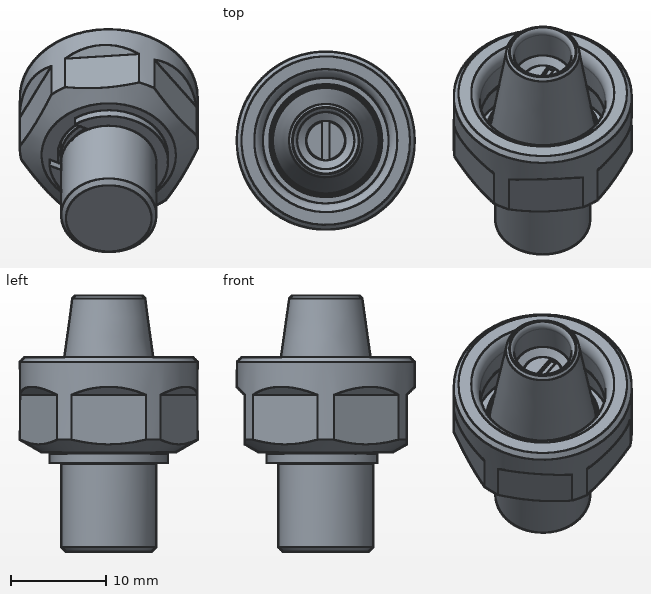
import cadquery as cq
import math

nose_top = 26.9
nut_top = 20.42
nut_bottom = 10.45
clip_top = 10.3
clip_thickness = 1.0
groove_play = 0.08

shank_radius = 10.0 / 2
shank_chamfer = 0.5
clip_groove_radius = 8.8 / 2
collar_radius = 11.85 / 2
collar_chamfer = 0.22
collar_top = 14.53
taper_angle = 8.0
nose_chamfer = 0.32
nose_radius = 3.85
nose_bore_radius = 6.0 / 2
nose_lip_width = 0.45
nose_lip_arc = 0.75
nose_bore_depth = 3.93
funnel_angle = 60.0
plug_radius = 4.15 / 2
plug_bevel = 0.05
plug_slot_width = 0.75
plug_slot_depth = 0.5

nut_radius = 18.7 / 2
nut_rim_chamfer = 0.5
nut_base_radius = 7.05
nut_base_angle = 30.0
nut_floor_thickness = 2.0
nut_hole_radius = 10.7 / 2
thread_radius = 14.5 / 2
mouth_radius = 13.18 / 2
mouth_lip_width = 0.91
mouth_lip_arc = 1.5
mouth_bottom = 16.27
thread_top = 15.06
across_flats = 17.0
flat_top = 16.45

clip_radius = 12.45 / 2
clip_gap = 6.2

nut_floor = nut_bottom + nut_floor_thickness
clip_bottom = clip_top - clip_thickness


def revolve_about_z(profile):
    return profile.close().revolve(360, (0, 0, 0), (0, 1, 0))


def add_rounded_lip(profile, bore_radius, lip_top, width, arc_radius):
    """Arc from the lip's outer edge, on the top face, down to where it runs smoothly into the bore."""
    outer_edge = bore_radius + width
    arc_angle = math.acos(1 - width / arc_radius)
    lip_bottom = lip_top - arc_radius * math.sin(arc_angle)
    middle = (
        bore_radius + arc_radius * (1 - math.cos(arc_angle / 2)),
        lip_bottom + arc_radius * math.sin(arc_angle / 2),
    )
    return profile.lineTo(outer_edge, lip_top).threePointArc(middle, (bore_radius, lip_bottom))


def make_body():
    shoulder_z = nose_top - nose_chamfer
    nose_base_radius = nose_radius + (shoulder_z - collar_top) * math.tan(math.radians(taper_angle))
    bore_bottom = nose_top - nose_bore_depth
    funnel_bottom = bore_bottom - (nose_bore_radius - plug_radius) / math.tan(math.radians(funnel_angle))
    plug_top = funnel_bottom + plug_bevel
    groove_bottom = clip_bottom - groove_play
    groove_top = clip_top + groove_play
    profile = (
        cq.Workplane("XZ")
        .moveTo(0, 0)
        .lineTo(shank_radius - shank_chamfer, 0)
        .lineTo(shank_radius, shank_chamfer)
        .lineTo(shank_radius, groove_bottom)
        .lineTo(clip_groove_radius, groove_bottom)
        .lineTo(clip_groove_radius, groove_top)
        .lineTo(shank_radius, groove_top)
        .lineTo(shank_radius, nut_floor)
        .lineTo(collar_radius, nut_floor)
        .lineTo(collar_radius, collar_top - collar_chamfer)
        .lineTo(collar_radius - collar_chamfer, collar_top)
        .lineTo(nose_base_radius, collar_top)
        .lineTo(nose_radius, shoulder_z)
        .lineTo(nose_radius - nose_chamfer, nose_top)
    )
    profile = (
        add_rounded_lip(profile, nose_bore_radius, nose_top, nose_lip_width, nose_lip_arc)
        .lineTo(nose_bore_radius, bore_bottom)
        .lineTo(plug_radius, funnel_bottom)
        .lineTo(plug_radius - plug_bevel, plug_top)
        .lineTo(0, plug_top)
    )
    slot = (
        cq.Workplane("XY", origin=(0, 0, plug_top - plug_slot_depth))
        .rect(plug_slot_width, 2 * plug_radius)
        .extrude(plug_slot_depth)
    )
    plug_column = cq.Workplane("XY").circle(plug_radius).extrude(nose_top)
    return revolve_about_z(profile).cut(slot.intersect(plug_column))


def make_nut():
    base_chamfer_height = (nut_radius - nut_base_radius) * math.tan(math.radians(nut_base_angle))
    profile = (
        cq.Workplane("XZ")
        .moveTo(nut_hole_radius, nut_bottom)
        .lineTo(nut_base_radius, nut_bottom)
        .lineTo(nut_radius, nut_bottom + base_chamfer_height)
        .lineTo(nut_radius, nut_top - nut_rim_chamfer)
        .lineTo(nut_radius - nut_rim_chamfer, nut_top)
    )
    profile = (
        add_rounded_lip(profile, mouth_radius, nut_top, mouth_lip_width, mouth_lip_arc)
        .lineTo(mouth_radius, mouth_bottom)
        .lineTo(thread_radius, thread_top)
        .lineTo(thread_radius, nut_floor)
        .lineTo(nut_hole_radius, nut_floor)
    )
    return revolve_about_z(profile).intersect(make_wrench_envelope())


def make_wrench_envelope():
    """Hexagon with a flat facing X, flaring at 45 degrees above the flats."""
    across_corners = across_flats / math.cos(math.pi / 6)
    straight = (
        cq.Workplane("XY", origin=(0, 0, nut_bottom))
        .polygon(6, across_corners)
        .extrude(flat_top - nut_bottom)
    )
    flare = straight.faces(">Z").wires().toPending().extrude(nut_top - flat_top, taper=-45)
    return flare.rotate((0, 0, 0), (0, 0, 1), 30)


def make_clip():
    """Snap ring seated on the groove floor, with its opening toward +X."""
    ring = (
        cq.Workplane("XY", origin=(0, 0, clip_bottom))
        .circle(clip_radius)
        .circle(clip_groove_radius)
        .extrude(clip_thickness)
    )
    opening = (
        cq.Workplane("XY", origin=(clip_radius, 0, clip_bottom))
        .rect(2 * clip_radius, clip_gap)
        .extrude(clip_thickness)
    )
    return ring.cut(opening)


result = make_body().union(make_nut()).union(make_clip())